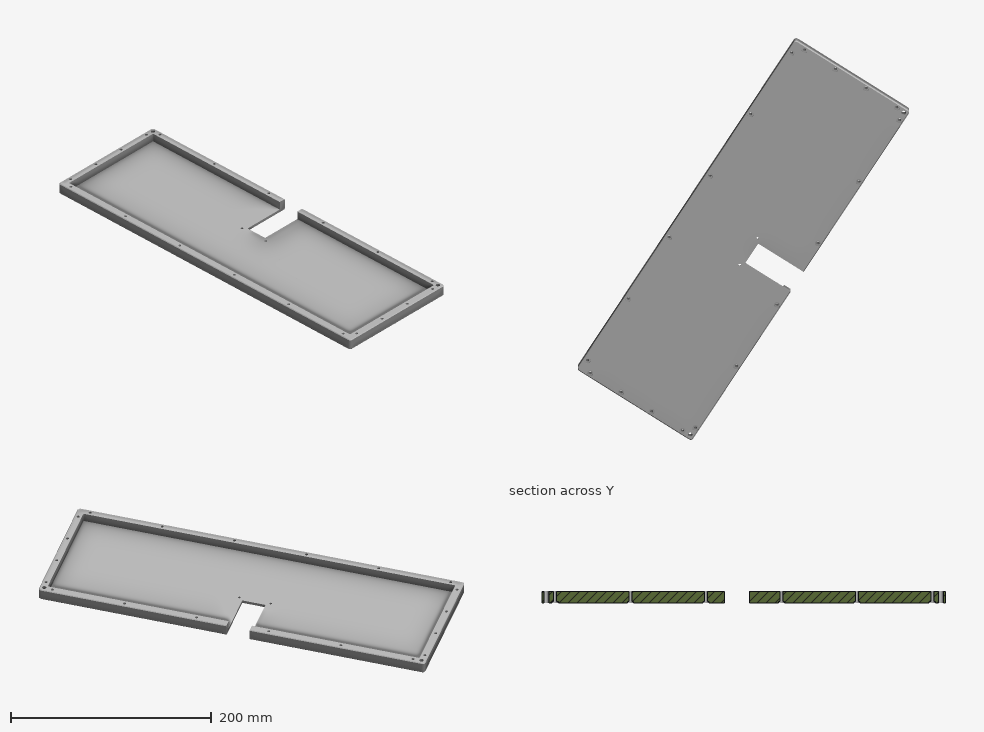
import cadquery as cq

length = 402.8
width = 136.0
height = 12.0
floor_thickness = 3.02
rim_width = 7.5
corner_radius = 3.02
pocket_corner_radius = 1.2
top_chamfer = 0.72
bottom_chamfer = 1.0

notch_width = 24.0
notch_depth = 54.0
notch_center_x = -7.0
notch_corner_radius = 0.5
notch_end_y = width / 2 - notch_depth

notch_hole_diameter = 2.55
notch_hole_spacing = 32.5
notch_hole_setback = 3.5

screw_diameter = 3.0
screw_head_diameter = 6.0
screw_head_depth = 1.5
long_side_screws = 6
long_side_span = 375.8
long_side_inset = 4.0
short_side_screws = 4
short_side_span = 109.0
short_side_inset = 4.0

corner_hole_diameter = 4.5
corner_hole_inset = 5.0


def tray():
    body = cq.Workplane("XY").box(length, width, height, centered=(True, True, False))
    body = body.edges("|Z").fillet(corner_radius)
    body = body.faces(">Z").edges().chamfer(top_chamfer)
    body = body.faces("<Z").edges().chamfer(bottom_chamfer)
    pocket = (
        cq.Workplane("XY", origin=(0, 0, floor_thickness))
        .rect(length - 2 * rim_width, width - 2 * rim_width)
        .extrude(height)
        .edges("|Z")
        .fillet(pocket_corner_radius)
    )
    return body.cut(pocket)


def notch():
    return (
        cq.Workplane("XY", origin=(notch_center_x, width / 2, 0))
        .rect(notch_width, 2 * notch_depth)
        .extrude(height)
        .edges("|Z and <Y")
        .fillet(notch_corner_radius)
    )


def evenly_spaced(count, span):
    return [span * (i / (count - 1) - 0.5) for i in range(count)]


def screw_points():
    row_y = width / 2 - long_side_inset
    column_x = length / 2 - short_side_inset
    points = []
    for side in (-1, 1):
        points += [(x, side * row_y) for x in evenly_spaced(long_side_screws, long_side_span)]
        points += [(side * column_x, y) for y in evenly_spaced(short_side_screws, short_side_span)]
    return points


def pins(points, diameter, pin_height=height):
    """Cylinders standing on the bottom plane, used to cut round holes."""
    return cq.Workplane("XY").pushPoints(points).circle(diameter / 2).extrude(pin_height)


notch_hole_points = [
    (notch_center_x + side * notch_hole_spacing / 2, notch_end_y - notch_hole_setback)
    for side in (-1, 1)
]
corner_hole_points = [
    (side * (length / 2 - corner_hole_inset), width / 2 - corner_hole_inset)
    for side in (-1, 1)
]

result = (
    tray()
    .cut(notch())
    .cut(pins(screw_points(), screw_diameter))
    .cut(pins(screw_points(), screw_head_diameter, screw_head_depth))
    .cut(pins(notch_hole_points, notch_hole_diameter))
    .cut(pins(corner_hole_points, corner_hole_diameter))
)